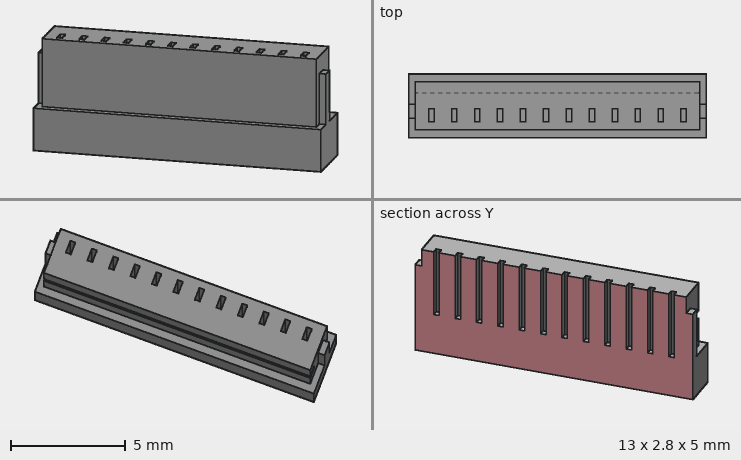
import cadquery as cq

base_length = 13.0
base_width = 2.8
base_height = 1.92

total_height = 5.0
end_inset = 0.3
side_inset = 0.35
housing_length = base_length - 2 * end_inset
housing_width = base_width - 2 * side_inset
housing_height = total_height - base_height

rib_width = 0.61
rib_center_y = -0.25
rib_top = 4.21

groove_depth = 0.48
groove_top = 3.63
groove_inner_bottom = 3.28
groove_outer_bottom = 3.24

slot_count = 12
slot_pitch = 1.0
slot_size_x = 0.23
slot_size_y = 0.56
slot_center_y = -0.42
slot_depth = housing_height


def make_base():
    return cq.Workplane("XY").box(base_length, base_width, base_height, centered=(True, True, False))


def make_housing():
    return (
        cq.Workplane("XY", origin=(0, 0, base_height))
        .box(housing_length, housing_width, housing_height, centered=(True, True, False))
    )


def make_ribs():
    return (
        cq.Workplane("XY", origin=(0, rib_center_y, base_height))
        .box(base_length, rib_width, rib_top - base_height, centered=(True, True, False))
    )


def make_groove():
    outer_y = housing_width / 2
    inner_y = outer_y - groove_depth
    return (
        cq.Workplane("YZ")
        .moveTo(outer_y, groove_top)
        .lineTo(inner_y, groove_top)
        .lineTo(inner_y, groove_inner_bottom)
        .lineTo(outer_y, groove_outer_bottom)
        .close()
        .extrude(housing_length / 2, both=True)
    )


def make_slots():
    return (
        cq.Workplane("XY", origin=(0, slot_center_y, total_height))
        .rarray(slot_pitch, 0.13, slot_count, 1)
        .rect(slot_size_x, slot_size_y)
        .extrude(-slot_depth)
    )


body = make_base().union(make_housing()).union(make_ribs())
result = body.cut(make_groove()).cut(make_slots())